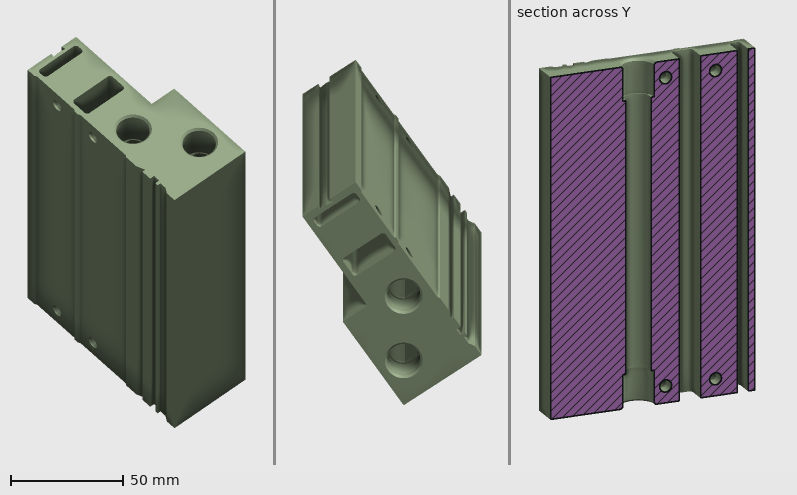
import cadquery as cq

length = 162.0
width = 99.0
depth = 42.0
low_depth = 28.7
step_x = 51.0

panel_depth = 0.6
panel_slope = 1.1
steep_slope = 0.6
left_panel_start = 4.5
land_start = 31.6
land_end = 33.7
right_panel_end = 66.5

ramp_start = 73.2
ramp_end = 77.3
ramp_depth = 1.6
slot_start = 82.6
slot_end = 86.0
slot_depth = 2.3
bevel_groove_start = 87.6
bevel_start = 91.0
bevel_groove_end = 93.8
bevel_groove_depth = 1.6

side_groove_low = 14.1
side_groove_high = 20.1
side_groove_undercut = 0.5
side_groove_depth = 2.0
side_floor_rise = 0.3

channel_wall = 2.9
channel_corner = 1.6
channel_spans = [(3.4, 8.6), (26.4, 36.6)]

port_centers = [(56.4, 12.8), (81.5, 30.0)]
flow_diameter = 13.8
flow_flats = 12.0
port_diameter = 14.9
port_depth = 16.2
port_chamfer = 1.0

mount_diameter = 5.5
mount_xs = [19.1, 43.3]
mount_end_distance = 8.1


def make_body():
    side_groove_middle = (side_groove_low + side_groove_high) / 2
    outline = [
        (0, 0),
        (left_panel_start, 0),
        (left_panel_start + panel_slope, panel_depth),
        (land_start - steep_slope, panel_depth),
        (land_start, 0),
        (land_end, 0),
        (land_end + panel_slope, panel_depth),
        (right_panel_end - panel_slope, panel_depth),
        (right_panel_end, 0),
        (ramp_start, 0),
        (ramp_end, ramp_depth),
        (ramp_end, 0),
        (slot_start, 0),
        (slot_start, slot_depth),
        (slot_end, slot_depth),
        (slot_end, 0),
        (bevel_groove_start, 0),
        (bevel_groove_start, bevel_groove_depth),
        (bevel_start, bevel_groove_depth),
        (bevel_groove_end, 0),
        (width, 0),
        (width, depth),
        (step_x, depth),
        (step_x, low_depth),
        (0, low_depth),
        (0, side_groove_high),
        (side_groove_depth, side_groove_high + side_groove_undercut),
        (side_groove_depth - side_floor_rise, side_groove_middle),
        (side_groove_depth, side_groove_low - side_groove_undercut),
        (0, side_groove_low),
    ]
    return cq.Workplane("XY").polyline(outline).close().extrude(length)


def make_channel(left, right):
    channel_depth = low_depth - 2 * channel_wall
    return (
        cq.Workplane("XY")
        .center((left + right) / 2, low_depth / 2)
        .rect(right - left, channel_depth)
        .extrude(length)
        .edges("|Z")
        .fillet(channel_corner)
    )


def make_flow_channel(x, y):
    """Full-length round channel with flats, plus a chamfered port at each end."""
    flats = cq.Workplane("XY").center(x, y).rect(flow_flats, flow_diameter).extrude(length)
    channel = cq.Workplane("XY").center(x, y).circle(flow_diameter / 2).extrude(length).intersect(flats)

    mouth_radius = port_diameter / 2 + port_chamfer
    port_profile = [
        (0, 0),
        (mouth_radius, 0),
        (port_diameter / 2, port_chamfer),
        (port_diameter / 2, port_depth),
        (0, port_depth),
    ]
    port = cq.Workplane("XZ").polyline(port_profile).close().revolve(360, (0, 0, 0), (0, 1, 0))
    lower_port = port.translate((x, y, 0))
    upper_port = port.mirror("XY").translate((x, y, length))
    return channel.union(lower_port).union(upper_port)


def make_mounting_holes():
    centers = [(x, z) for x in mount_xs for z in (mount_end_distance, length - mount_end_distance)]
    return cq.Workplane("XZ").pushPoints(centers).circle(mount_diameter / 2).extrude(-low_depth)


result = make_body()
for span in channel_spans:
    result = result.cut(make_channel(*span))
for center in port_centers:
    result = result.cut(make_flow_channel(*center))
result = result.cut(make_mounting_holes())